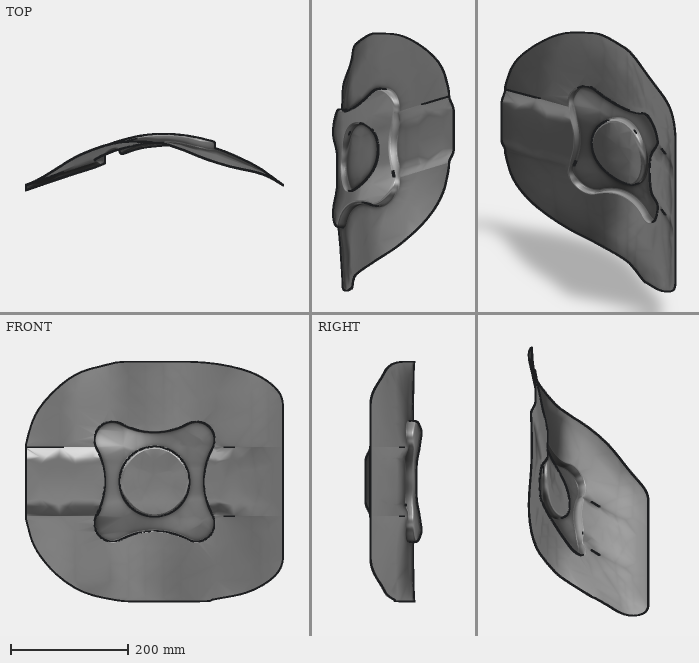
import cadquery as cq
import math

LENGTH = 438.72
HEIGHT = 409.48
HALF_LENGTH = LENGTH / 2
HALF_HEIGHT = HEIGHT / 2
THICKNESS = 1.4
MARGIN = 6.0
DEEP = 80.0
REACH = 300.0

BEND_LINE = [
    (-HALF_LENGTH, -74.0),
    (-148.0, -49.3),
    (-106.0, -36.3),
    (-30.0, -6.5),
    (10.0, -0.6),
    (57.0, -1.5),
    (104.0, -11.2),
    (143.0, -26.5),
    (180.0, -45.5),
    (HALF_LENGTH, -74.0),
]
TWIST = 0.168
TWIST_SHARPNESS = 0.4

CHANNEL_HALF_WIDTH = 59.0
PLATE_CHANNEL = (CHANNEL_HALF_WIDTH, 24.0)
CHANNEL_DEPTH = 8.6
CHANNEL_FADE_START = 90.0

LEFT_EDGE_HALF = 64.0
RIGHT_EDGE_HALF = 132.0
LEFT_CORNER = [(-203.5, 113.5), (-187.5, 137.0), (-156.0, 168.0), (-124.0, 187.5), (-77.0, 200.5)]
FLAT_START = -40.0
FLAT_END = 50.0
RIGHT_CORNER = [(98.0, 202.0), (145.0, 193.0), (177.0, 181.0), (209.0, 157.0)]

PAD_RISE = 14.6
PAD_LOBES = 4
PAD_HALF_WIDTH = 103.5
LOBE_RADIUS = 32.0
LOBE_CENTRE = PAD_HALF_WIDTH - LOBE_RADIUS
WAIST_DISTANCE = 85.5
WAIST_NOTCH = WAIST_DISTANCE - LOBE_CENTRE
WAIST_RADIUS = (LOBE_CENTRE**2 + WAIST_NOTCH**2 - LOBE_RADIUS**2) / (2 * (LOBE_RADIUS - WAIST_NOTCH))
PAD_CHANNEL = (92.0, 62.0)
PAD_FILLET = 4.0

DISH_RADIUS = 60.0
DISH_DEPTH = 13.0
DISH_FILLET = 5.0

ROOT_FILLET = 2.0
DISH_FLOOR = PAD_RISE - DISH_DEPTH
RIM_DIVIDE = (DISH_RADIUS + WAIST_DISTANCE) / 2
PAD_REACH = LOBE_CENTRE * math.sqrt(2) + LOBE_RADIUS + MARGIN

GRID_STEPS_X = 56
GRID_STEPS_Z = 72


def smooth_step(t):
    """Ease from 0 to 1 with level ends."""
    t = min(max(t, 0.0), 1.0)
    return t * t * (3 - 2 * t)


def bend_slope(i):
    """Slope of the bend line at its i-th point."""
    x0, y0 = BEND_LINE[max(i - 1, 0)]
    x1, y1 = BEND_LINE[min(i + 1, len(BEND_LINE) - 1)]
    return (y1 - y0) / (x1 - x0)


def bend_height(x):
    """Height of the channel edge at x: a cubic between each pair of bend-line points."""
    i = 0
    while i < len(BEND_LINE) - 2 and x > BEND_LINE[i + 1][0]:
        i += 1
    x0, y0 = BEND_LINE[i]
    x1, y1 = BEND_LINE[i + 1]
    span = x1 - x0
    t = (x - x0) / span
    if t < 0:
        return y0 + bend_slope(i) * (x - x0)
    if t > 1:
        return y1 + bend_slope(i + 1) * (x - x1)
    rise = smooth_step(t)
    start_pull = t * (1 - t) ** 2 * span * bend_slope(i)
    end_pull = t * t * (t - 1) * span * bend_slope(i + 1)
    return y0 + (y1 - y0) * rise + start_pull + end_pull


def surface_height(x, z, half_width, wall_run):
    """Y of the pressed surface, with a channel of the given half width and wall run."""
    beyond = max(abs(z) - CHANNEL_HALF_WIDTH, 0.0)
    wave = math.sin(math.pi * x / HALF_LENGTH)
    panel = -TWIST * wave * abs(wave) ** TWIST_SHARPNESS * beyond
    fade = 1 - smooth_step((x - CHANNEL_FADE_START) / (HALF_LENGTH - CHANNEL_FADE_START))
    dip = CHANNEL_DEPTH * fade * smooth_step((half_width - abs(z)) / wall_run)
    return bend_height(x) + panel - dip


def pressed_face(half_x, half_z, half_width, wall_run):
    """Smooth face through the pressed surface over a rectangle in X and Z."""
    rows = []
    for i in range(GRID_STEPS_X + 1):
        x = half_x * (2 * i / GRID_STEPS_X - 1)
        row = []
        for j in range(GRID_STEPS_Z + 1):
            z = half_z * (2 * j / GRID_STEPS_Z - 1)
            row.append(cq.Vector(x, surface_height(x, z, half_width, wall_run), z))
        rows.append(row)
    return cq.Face.makeSplineApprox(rows, tol=0.3, minDeg=3, maxDeg=3)


def layer(face, bottom, top):
    """Solid between two Y offsets of a face."""
    start = face.moved(cq.Location(cq.Vector(0, bottom, 0)))
    solid = cq.Solid.extrudeLinear(start, cq.Vector(0, top - bottom, 0))
    return cq.Workplane(obj=solid)


def through_y(profile):
    """Extrude an XZ profile both ways along Y, past the whole part."""
    return profile.extrude(REACH, both=True)


def plate_outline():
    """Rounded plate outline, symmetric about Z = 0."""
    upper_left = [(-HALF_LENGTH, LEFT_EDGE_HALF)] + LEFT_CORNER + [(FLAT_START, HALF_HEIGHT)]
    upper_right = [(FLAT_END, HALF_HEIGHT)] + RIGHT_CORNER + [(HALF_LENGTH, RIGHT_EDGE_HALF)]
    lower_right = [(x, -z) for x, z in reversed(upper_right)]
    lower_left = [(x, -z) for x, z in reversed(upper_left)]
    return (
        cq.Workplane("XZ")
        .moveTo(*upper_left[0])
        .spline(upper_left[1:], tangents=[(0.25, 1), (1, 0)], includeCurrent=True)
        .lineTo(*upper_right[0])
        .spline(upper_right[1:], tangents=[(1, 0), (0.1, -1)], includeCurrent=True)
        .lineTo(*lower_right[0])
        .spline(lower_right[1:], tangents=[(-0.1, -1), (-1, 0)], includeCurrent=True)
        .lineTo(*lower_left[0])
        .spline(lower_left[1:], tangents=[(-1, 0), (-0.25, 1)], includeCurrent=True)
        .close()
    )


def quarter_turns(point):
    """The point and its three copies turned by quarter turns about the pad axis."""
    x, z = point
    return [(x, z), (-z, x), (-x, -z), (z, -x)]


def lobe_outline(inset):
    """Four-lobed pad outline of tangent lobe and waist arcs, moved inwards by the inset."""
    lobe_radius = LOBE_RADIUS - inset
    aim = math.atan2(LOBE_CENTRE, WAIST_RADIUS + WAIST_DISTANCE - LOBE_CENTRE)
    join_x = LOBE_CENTRE - lobe_radius * math.sin(aim)
    join_z = LOBE_CENTRE + lobe_radius * math.cos(aim)
    tip = LOBE_CENTRE + lobe_radius * math.sqrt(0.5)
    joins_before = quarter_turns((join_z, join_x))
    tips = quarter_turns((tip, tip))
    joins_after = quarter_turns((join_x, join_z))
    waists = quarter_turns((0, WAIST_DISTANCE - inset))
    ends = quarter_turns((-join_x, join_z))
    outline = cq.Workplane("XZ").moveTo(*joins_before[0])
    for i in range(PAD_LOBES):
        outline = outline.threePointArc(tips[i], joins_after[i])
        outline = outline.threePointArc(waists[i], ends[i])
    return outline.close()


def dish_outline(inset):
    """Round dish outline, moved inwards by the inset."""
    return cq.Workplane("XZ").circle(DISH_RADIUS - inset)


def plate_body():
    """Curved plate, built as two panels and the channel between them."""
    blank = layer(plate_face, -THICKNESS, 0).intersect(through_y(plate_outline()))
    channel = cq.Workplane("XY").box(REACH * 2, REACH * 2, CHANNEL_HALF_WIDTH * 2)
    return blank.cut(channel).union(blank.intersect(channel), clean=False, glue=True)


def add_pad(body):
    """Stand the lobed pad on the plate and hollow it from the -Y side."""
    outside = layer(plate_face, -THICKNESS / 2, DEEP).intersect(layer(pad_face, -DEEP, PAD_RISE))
    inside = layer(pad_face, -DEEP, PAD_RISE - THICKNESS)
    block = outside.intersect(through_y(lobe_outline(0)))
    room = inside.intersect(through_y(lobe_outline(THICKNESS)))
    return body.union(block, clean=False).cut(room, clean=False)


def add_dish(body):
    """Hang the round dish below the pad and open it towards +Y."""
    block = layer(pad_face, DISH_FLOOR, PAD_RISE - THICKNESS / 2).intersect(through_y(dish_outline(0)))
    pocket = layer(pad_face, DISH_FLOOR + THICKNESS, DEEP).intersect(through_y(dish_outline(THICKNESS)))
    return body.union(block, clean=False).cut(pocket, clean=False)


def round_rim(body, channel_shape, offset, radius, around_pad):
    """Round the edges at one Y offset of a pressed surface, around the pad or around the dish."""
    edges = []
    for edge in body.Edges():
        middle = edge.positionAt(0.5)
        height = surface_height(middle.x, middle.z, *channel_shape)
        distance = math.hypot(middle.x, middle.z)
        level = abs(middle.y - height - offset) < THICKNESS / 2
        beside_pad = RIM_DIVIDE < distance < PAD_REACH
        if level and distance < PAD_REACH and beside_pad == around_pad:
            edges.append(edge)
    return body.fillet(radius, edges)


plate_face = pressed_face(HALF_LENGTH + MARGIN, HALF_HEIGHT + MARGIN, *PLATE_CHANNEL)
pad_face = pressed_face(PAD_HALF_WIDTH + MARGIN, PAD_HALF_WIDTH + MARGIN, *PAD_CHANNEL)

body = add_dish(add_pad(plate_body())).val()
body = round_rim(body, PAD_CHANNEL, DISH_FLOOR + THICKNESS, DISH_FILLET - THICKNESS, False)
body = round_rim(body, PAD_CHANNEL, DISH_FLOOR, DISH_FILLET, False)
body = round_rim(body, PAD_CHANNEL, PAD_RISE - THICKNESS, PAD_FILLET - THICKNESS, True)
body = round_rim(body, PAD_CHANNEL, PAD_RISE, PAD_FILLET, True)
body = round_rim(body, PAD_CHANNEL, PAD_RISE - THICKNESS, ROOT_FILLET, False)
body = round_rim(body, PAD_CHANNEL, PAD_RISE, ROOT_FILLET, False)
body = round_rim(body, PLATE_CHANNEL, -THICKNESS, ROOT_FILLET, True)
body = round_rim(body, PLATE_CHANNEL, 0, ROOT_FILLET, True)

result = cq.Workplane(obj=body)